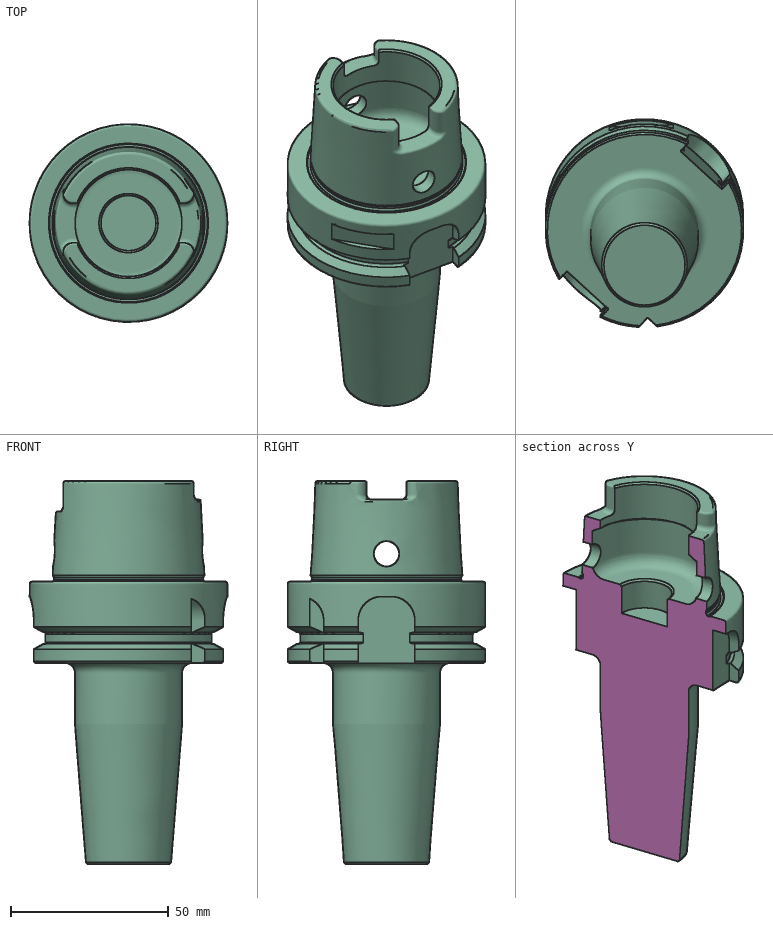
import cadquery as cq
import math


TAPER_HEIGHT = 32.0
TAPER_BASE_RADIUS = 24.3
TAPER_SLOPE = 1 / 20
TAPER_BASE_Z = 2.0
NECK_BOTTOM_Z = 0.5
NECK_RADIUS = 23.8
FACE_RELIEF_RADIUS = 25.4
FACE_RELIEF_DEPTH = 0.3
RIM_ROUND = 1.0

BORE_RADIUS = 17.0
BORE_CHAMFER = 0.6
LIP_Z = 19.4
UNDERCUT_RADIUS = 20.0
UNDERCUT_ANGLE = 60.0
FLOOR_Z = 1.8
FLOOR_FILLET = 4.2
CENTRE_HOLE_RADIUS = 8.75
CENTRE_HOLE_CHAMFER = 0.65
CENTRE_HOLE_DEPTH = 10.0

FLANGE_RADIUS = 31.5
FLANGE_HEIGHT = 26.0
FLANGE_ROUND = 0.9
FLANGE_BOTTOM_CHAMFER = 0.6
GROOVE_Z = -18.0
GROOVE_RADIUS = 27.5
GROOVE_HALF_HEIGHT = 1.875
GROOVE_SHOULDER_RADIUS = 28.6
GROOVE_FLARE_ANGLE = 30.0
GROOVE_FILLET = 0.6

NOSE_RADIUS = 17.1
NOSE_FILLET = 3.0
NOSE_CONE_Z = -45.3
NOSE_BOTTOM_Z = -90.0
NOSE_TIP_RADIUS = 13.6
NOSE_CHAMFER = 0.7

KEY_HALF_WIDTH = 6.3
KEY_CORNER_RADIUS = 3.0
KEY_FLAT_X = 20.8
KEY_FLOOR_FILLET = 1.5
KEY_EDGE_ROUND = 0.75
KEY_DEEP_FLOOR_Z = 22.3
KEY_SHALLOW_FLOOR_Z = 26.1

CROSS_HOLE_DIAMETER = 8.0
CROSS_HOLE_Z = 8.8

DRIVE_HALF_WIDTH = 9.0
DRIVE_FLOOR_X = 26.5
DRIVE_TOP_Z = -4.8
DRIVE_CORNER_RADIUS = 7.5
NOTCH_X = 20.0
NOTCH_Y = -20.0
FLAT_DISTANCE = 29.8
FLAT_ANGLE = 135.0
FLAT_HEIGHT = 6.2
FLAT_Z = -7.0

OVERCUT = 5.0


def taper_radius(z):
    """Outer radius of the shank at height z."""
    return TAPER_BASE_RADIUS - z * TAPER_SLOPE


def revolve_about_z(profile):
    return profile.close().revolve(360, (0, 0, 0), (0, 1, 0))


def make_body():
    flare = (FLANGE_RADIUS - GROOVE_SHOULDER_RADIUS) * math.tan(math.radians(GROOVE_FLARE_ANGLE))
    groove_top = GROOVE_Z + GROOVE_HALF_HEIGHT
    groove_bottom = GROOVE_Z - GROOVE_HALF_HEIGHT
    diagonal = math.sqrt(0.5)
    profile = (
        cq.Workplane("XZ")
        .moveTo(0, TAPER_HEIGHT)
        .lineTo(taper_radius(TAPER_HEIGHT), TAPER_HEIGHT)
        .lineTo(taper_radius(TAPER_BASE_Z), TAPER_BASE_Z)
        .lineTo(NECK_RADIUS, (TAPER_BASE_Z + NECK_BOTTOM_Z) / 2)
        .lineTo(NECK_RADIUS, NECK_BOTTOM_Z)
        .lineTo(TAPER_BASE_RADIUS, -FACE_RELIEF_DEPTH)
        .lineTo(FACE_RELIEF_RADIUS - FACE_RELIEF_DEPTH, -FACE_RELIEF_DEPTH)
        .lineTo(FACE_RELIEF_RADIUS, 0)
        .lineTo(FLANGE_RADIUS - FLANGE_ROUND, 0)
        .threePointArc(
            (FLANGE_RADIUS - FLANGE_ROUND * (1 - diagonal), -FLANGE_ROUND * (1 - diagonal)),
            (FLANGE_RADIUS, -FLANGE_ROUND),
        )
        .lineTo(FLANGE_RADIUS, groove_top + flare)
        .lineTo(GROOVE_SHOULDER_RADIUS, groove_top)
        .lineTo(GROOVE_RADIUS + GROOVE_FILLET, groove_top)
        .threePointArc(
            (GROOVE_RADIUS + GROOVE_FILLET * (1 - diagonal), groove_top - GROOVE_FILLET * (1 - diagonal)),
            (GROOVE_RADIUS, groove_top - GROOVE_FILLET),
        )
        .lineTo(GROOVE_RADIUS, groove_bottom + GROOVE_FILLET)
        .threePointArc(
            (GROOVE_RADIUS + GROOVE_FILLET * (1 - diagonal), groove_bottom + GROOVE_FILLET * (1 - diagonal)),
            (GROOVE_RADIUS + GROOVE_FILLET, groove_bottom),
        )
        .lineTo(GROOVE_SHOULDER_RADIUS, groove_bottom)
        .lineTo(FLANGE_RADIUS, groove_bottom - flare)
        .lineTo(FLANGE_RADIUS, FLANGE_BOTTOM_CHAMFER - FLANGE_HEIGHT)
        .lineTo(FLANGE_RADIUS - FLANGE_BOTTOM_CHAMFER, -FLANGE_HEIGHT)
        .lineTo(NOSE_RADIUS + NOSE_FILLET, -FLANGE_HEIGHT)
        .threePointArc(
            (NOSE_RADIUS + NOSE_FILLET * (1 - diagonal), -FLANGE_HEIGHT - NOSE_FILLET * (1 - diagonal)),
            (NOSE_RADIUS, -FLANGE_HEIGHT - NOSE_FILLET),
        )
        .lineTo(NOSE_RADIUS, NOSE_CONE_Z)
        .lineTo(NOSE_TIP_RADIUS, NOSE_BOTTOM_Z + NOSE_CHAMFER)
        .lineTo(NOSE_TIP_RADIUS - NOSE_CHAMFER, NOSE_BOTTOM_Z)
        .lineTo(0, NOSE_BOTTOM_Z)
    )
    return revolve_about_z(profile)


def make_bore():
    shoulder_drop = (UNDERCUT_RADIUS - BORE_RADIUS) / math.tan(math.radians(UNDERCUT_ANGLE))
    fillet_inset = FLOOR_FILLET * (1 - math.sqrt(0.5))
    profile = (
        cq.Workplane("XZ")
        .moveTo(0, TAPER_HEIGHT)
        .lineTo(BORE_RADIUS + BORE_CHAMFER, TAPER_HEIGHT)
        .lineTo(BORE_RADIUS, TAPER_HEIGHT - BORE_CHAMFER)
        .lineTo(BORE_RADIUS, LIP_Z)
        .lineTo(UNDERCUT_RADIUS, LIP_Z - shoulder_drop)
        .lineTo(UNDERCUT_RADIUS, FLOOR_Z + FLOOR_FILLET)
        .threePointArc(
            (UNDERCUT_RADIUS - fillet_inset, FLOOR_Z + fillet_inset),
            (UNDERCUT_RADIUS - FLOOR_FILLET, FLOOR_Z),
        )
        .lineTo(CENTRE_HOLE_RADIUS + CENTRE_HOLE_CHAMFER, FLOOR_Z)
        .lineTo(CENTRE_HOLE_RADIUS, FLOOR_Z - CENTRE_HOLE_CHAMFER)
        .lineTo(CENTRE_HOLE_RADIUS, FLOOR_Z - CENTRE_HOLE_DEPTH)
        .lineTo(0, FLOOR_Z - CENTRE_HOLE_DEPTH)
    )
    return revolve_about_z(profile)


def make_key_slot(floor_z):
    """Key slot cutter on the +X side: a narrow slot that flares outward round two convex corners."""
    corner_x = KEY_FLAT_X - KEY_CORNER_RADIUS
    corner_y = KEY_HALF_WIDTH + KEY_CORNER_RADIUS
    middle_x = corner_x + KEY_CORNER_RADIUS * math.sqrt(0.5)
    middle_y = corner_y - KEY_CORNER_RADIUS * math.sqrt(0.5)
    outer_x = TAPER_BASE_RADIUS + OVERCUT
    outer_y = corner_y + OVERCUT
    return (
        cq.Workplane("XY", origin=(0, 0, floor_z))
        .moveTo(0, -KEY_HALF_WIDTH)
        .lineTo(corner_x, -KEY_HALF_WIDTH)
        .threePointArc((middle_x, -middle_y), (KEY_FLAT_X, -corner_y))
        .lineTo(KEY_FLAT_X, -outer_y)
        .lineTo(outer_x, -outer_y)
        .lineTo(outer_x, outer_y)
        .lineTo(KEY_FLAT_X, outer_y)
        .lineTo(KEY_FLAT_X, corner_y)
        .threePointArc((middle_x, middle_y), (corner_x, KEY_HALF_WIDTH))
        .lineTo(0, KEY_HALF_WIDTH)
        .close()
        .extrude(TAPER_HEIGHT - floor_z + OVERCUT)
        .faces("<Z").edges("not(<X or >X)")
        .fillet(KEY_FLOOR_FILLET)
    )


def on_minus_x(cutter):
    return cutter.rotate((0, 0, 0), (0, 0, 1), 180)


def cut_key_slots(body):
    body = body.cut(on_minus_x(make_key_slot(KEY_DEEP_FLOOR_Z)))
    return body.cut(make_key_slot(KEY_SHALLOW_FLOOR_Z))


def make_flange_slot(floor_x, y_min, y_max):
    """Cutter facing +X, open at the flange bottom, with rounded upper corners."""
    bottom_z = -FLANGE_HEIGHT
    return (
        cq.Workplane("XY")
        .box(FLANGE_RADIUS + OVERCUT - floor_x, y_max - y_min, DRIVE_TOP_Z - bottom_z, centered=False)
        .translate((floor_x, y_min, bottom_z))
        .edges("|X and >Z")
        .fillet(DRIVE_CORNER_RADIUS)
    )


def cut_flange_slots(body):
    drive_slot = make_flange_slot(DRIVE_FLOOR_X, -DRIVE_HALF_WIDTH, DRIVE_HALF_WIDTH)
    corner_notch = make_flange_slot(NOTCH_X, NOTCH_Y - 2 * DRIVE_HALF_WIDTH, NOTCH_Y)
    return body.cut(drive_slot).cut(on_minus_x(drive_slot)).cut(corner_notch)


def cut_cross_holes(body):
    drill = (
        cq.Workplane("YZ")
        .center(0, CROSS_HOLE_Z)
        .circle(CROSS_HOLE_DIAMETER / 2)
        .extrude(TAPER_BASE_RADIUS + OVERCUT, both=True)
    )
    return body.cut(drill)


def cut_flange_flat(body):
    cutter = (
        cq.Workplane("XY")
        .box(OVERCUT, 2 * FLANGE_RADIUS, FLAT_HEIGHT, centered=(False, True, True))
        .translate((FLAT_DISTANCE, 0, FLAT_Z))
        .rotate((0, 0, 0), (0, 0, 1), FLAT_ANGLE)
    )
    return body.cut(cutter)


def round_rim(body):
    """Round the outer edge of the top face."""
    return body.faces(">Z").edges().fillet(RIM_ROUND)


def round_key_slot_edges(body):
    """Round the top edges along both key slots, between the bore and the outer rim."""
    corner_y = KEY_HALF_WIDTH + KEY_CORNER_RADIUS
    reach = TAPER_BASE_RADIUS
    slot_zone = cq.selectors.BoxSelector(
        (BORE_RADIUS / 2, -corner_y, TAPER_HEIGHT - RIM_ROUND),
        (reach, corner_y, TAPER_HEIGHT + RIM_ROUND),
    )
    opposite_zone = cq.selectors.BoxSelector(
        (-reach, -corner_y, TAPER_HEIGHT - RIM_ROUND),
        (-BORE_RADIUS / 2, corner_y, TAPER_HEIGHT + RIM_ROUND),
    )
    return body.faces(">Z").edges(slot_zone + opposite_zone).fillet(KEY_EDGE_ROUND)


body = round_rim(make_body())
body = body.cut(make_bore())
body = cut_key_slots(body)
body = round_key_slot_edges(body)
body = cut_cross_holes(body)
body = cut_flange_slots(body)
result = cut_flange_flat(body)